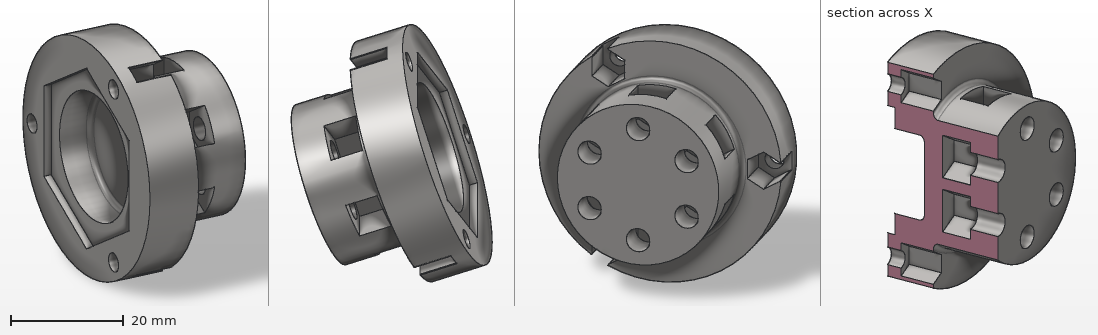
import cadquery as cq
import math

flange_diameter = 44.8
flange_thickness = 10.0
total_length = 24.0
boss_diameter = 29.85
boss_fillet = 1.0

hex_across_flats = 29.95
hex_depth = 1.52
bore_diameter = 24.15
bore_depth = 8.0
bore_fillet = 1.0

screw_count = 3
screw_hole_diameter = 3.5
screw_circle_radius = 19.15
screw_nut_start = 3.0
screw_nut_across_flats = 6.0

nut_count = 6
nut_across_flats = 7.0
nut_start = 12.0
nut_thickness = 6.0
nut_circle_radius = 10.35
bolt_hole_diameter = 4.3

hex_corner_ratio = 2 / math.sqrt(3)
boss_radius = boss_diameter / 2


def plane_at(y):
    """Plane normal to Y with local x = X, local y = Z and its normal along -Y."""
    return cq.Workplane("XZ", origin=(0, y, 0))


def cylinder(diameter, start, end):
    """Cylinder on the Y axis."""
    return plane_at(start).circle(diameter / 2).extrude(start - end)


def hexagon_prism(across_flats, start, end):
    """Hexagon along Y with two of its corners on the local X axis."""
    return plane_at(start).polygon(6, across_flats * hex_corner_ratio).extrude(start - end)


def around_axis(solid, count, first_angle):
    """Copies of a feature on the +X side, turned about Y from +X towards +Z."""
    copies = cq.Workplane()
    for i in range(count):
        angle = first_angle + i * 360 / count
        copies = copies.add(solid.rotate((0, 0, 0), (0, 1, 0), -angle))
    return copies.combine()


def make_body():
    """Flange and boss joined by a fillet."""
    flange_radius = flange_diameter / 2
    return (
        cq.Workplane("XY")
        .lineTo(flange_radius, 0)
        .lineTo(flange_radius, flange_thickness)
        .lineTo(boss_radius + boss_fillet, flange_thickness)
        .radiusArc((boss_radius, flange_thickness + boss_fillet), boss_fillet)
        .lineTo(boss_radius, total_length)
        .lineTo(0, total_length)
        .close()
        .revolve(360, (0, 0, 0), (0, 1, 0))
    )


def make_front_recess():
    """Hexagonal pocket with a round blind bore, filleted at its floor."""
    hexagon = hexagon_prism(hex_across_flats, 0, hex_depth).rotate((0, 0, 0), (0, 1, 0), 30)
    bore = cylinder(bore_diameter, 0, bore_depth).faces(">Y").edges().fillet(bore_fillet)
    return hexagon.union(bore)


def radial_entry(width, start, end, length):
    """Box running outward along +X from the Y axis."""
    return (
        cq.Workplane("XY")
        .box(length, end - start, width, centered=(False, False, True))
        .translate((0, start, 0))
    )


def make_screw_cut():
    """Screw hole with a nut pocket, its flats facing inward and outward, open to the rim and the back."""
    hole = cylinder(screw_hole_diameter, 0, flange_thickness)
    pocket = hexagon_prism(screw_nut_across_flats, screw_nut_start, flange_thickness)
    pocket = pocket.rotate((0, 0, 0), (0, 1, 0), 30)
    hexagon_side = screw_nut_across_flats * hex_corner_ratio / 2
    entry = radial_entry(hexagon_side, screw_nut_start, flange_thickness, screw_nut_across_flats)
    return hole.union(pocket).union(entry).translate((screw_circle_radius, 0, 0))


def make_nut_cut():
    """Side-loaded nut trap, corner inward, with a bolt hole to the back of the boss."""
    nut_end = nut_start + nut_thickness
    nut = hexagon_prism(nut_across_flats, nut_start, nut_end)
    entry = radial_entry(nut_across_flats, nut_start, nut_end, boss_radius)
    bolt = cylinder(bolt_hole_diameter, nut_end, total_length)
    return nut.union(entry).union(bolt).translate((nut_circle_radius, 0, 0))


result = (
    make_body()
    .cut(make_front_recess())
    .cut(around_axis(make_screw_cut(), screw_count, 60))
    .cut(around_axis(make_nut_cut(), nut_count, 30))
)